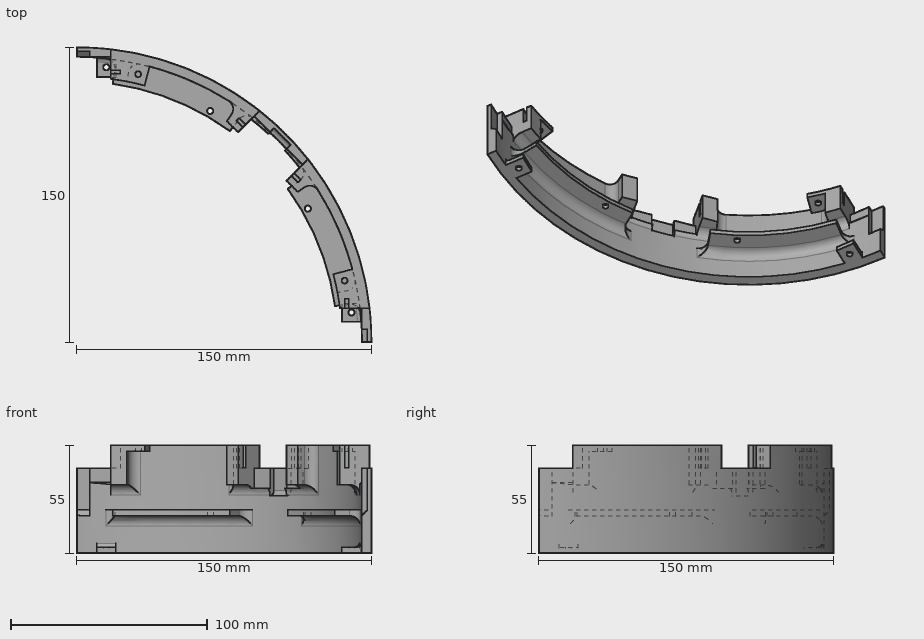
import cadquery as cq
import math

OUTER_RADIUS = 150
INNER_RADIUS = 145.0
TOTAL_HEIGHT = 55.0
LOW_WALL_HEIGHT = 43.4
FILLET_RADIUS = 5.0
ROOT_RADIUS = 147.8
END_STEP = 17.2
GAP_HALF_WIDTH = 17.4
MIDDLE_TILT = 45
REACH = 180
CORE_RADIUS = 120

BRACKET_BOTTOM = 34.8
BRACKET_INNER_RADIUS = 135
POST_TILT = 10.8
PLATE_TILT = 14.8
PLATE_THICKNESS = 3.2
PLATE_HOLE_RADIUS = 139.8
PLATE_HOLE_TILT = 12.9
MIDDLE_BLOCK_FACE = 133.5
MIDDLE_BLOCK_HALF_ANGLE = 10.8
HOLE_DIAMETER = 3

SLOT_BOTTOM = 43.5
SLOT_WIDTH = 2.0
SLOT_LENGTH = 4.8
POST_SLOT_CENTER = 137.4
MIDDLE_SLOT_CENTER = 138

SEAT_FACE = INNER_RADIUS
MIDDLE_SEAT_BOTTOM = 33
END_SEAT_BOTTOM = 36

RECESS_BACK = 147.9
MIDDLE_RECESS_HALF_WIDTH = 6
MIDDLE_RECESS_BOTTOM = 29.2
END_RECESS_LENGTH = 6.6
END_RECESS_BOTTOM = 22.0

LEDGE_INNER_RADIUS = 132.6
LEDGE_TOP = 22.2
LEDGE_THICKNESS = 3.2
LEDGE_START_TILT = 7.9
LEDGE_END_TILT = 36
LEDGE_HOLE_RADIUS = 135.8
LEDGE_HOLE_TILT = 30

TAB_START = 10.2
TAB_END = 19.8
TAB_INNER = 134.8
TAB_THICKNESS = 3.2
TAB_FILLET_RADIUS = 2.0
TAB_HOLE_X = 15
TAB_HOLE_Y = 139.8

DIAGONAL = math.sqrt(0.5)


def turned(x, y, tilt):
    """Turn a point clockwise about the ring axis."""
    angle = math.radians(tilt)
    return (x * math.cos(angle) + y * math.sin(angle), y * math.cos(angle) - x * math.sin(angle))


def mirrored(shape):
    """Copy onto the other half of the ring."""
    return shape.mirror(cq.Vector(1, -1, 0))


def box(x_range, y_range, z_range):
    size = [high - low for low, high in (x_range, y_range, z_range)]
    corner = (x_range[0], y_range[0], z_range[0])
    return cq.Workplane("XY").box(*size, centered=False).translate(corner)


def slot_range(center):
    """Limits of a panel slot across its width."""
    return (center - SLOT_WIDTH / 2, center + SLOT_WIDTH / 2)


def middle_box(half_width, radial_range, z_range):
    """Box centred on the middle of the ring."""
    return box((-half_width, half_width), radial_range, z_range).rotate((0, 0, 0), (0, 0, 1), -MIDDLE_TILT)


def hole(center, bottom, top):
    plane = cq.Workplane("XY", origin=(center[0], center[1], bottom))
    return plane.circle(HOLE_DIAMETER / 2).extrude(top - bottom)


def revolved(section):
    """Turn a section, drawn as (radius, height), about the ring axis."""
    return section.revolve(360, (0, 0, 0), (0, 1, 0))


def blended_profile(inner_radius, bottom, top):
    """Ring section whose underside curves down into the wall."""
    center = (INNER_RADIUS - FILLET_RADIUS, bottom - FILLET_RADIUS)
    offset = FILLET_RADIUS * DIAGONAL
    section = (
        cq.Workplane("XZ")
        .moveTo(inner_radius, top)
        .lineTo(inner_radius, bottom)
        .lineTo(center[0], bottom)
        .threePointArc((center[0] + offset, center[1] + offset), (INNER_RADIUS, center[1]))
        .lineTo(ROOT_RADIUS, center[1])
        .lineTo(ROOT_RADIUS, top)
        .close()
    )
    return revolved(section)


def make_wall():
    outer_middle = OUTER_RADIUS * DIAGONAL
    inner_middle = INNER_RADIUS * DIAGONAL
    wall = (
        cq.Workplane("XY")
        .moveTo(0, INNER_RADIUS)
        .lineTo(0, OUTER_RADIUS)
        .threePointArc((outer_middle, outer_middle), (OUTER_RADIUS, 0))
        .lineTo(INNER_RADIUS, 0)
        .threePointArc((inner_middle, inner_middle), (0, INNER_RADIUS))
        .close()
        .extrude(TOTAL_HEIGHT)
    )
    end_step = box((0, END_STEP), (0, REACH), (LOW_WALL_HEIGHT, TOTAL_HEIGHT))
    return wall.cut(end_step).cut(mirrored(end_step))


def side_blend(tilt, direction):
    """Arc blending a radial side face into the wall: wall end, middle and face end.

    direction is the side of the face the round lies on, +1 for clockwise.
    """
    center_radius = INNER_RADIUS - FILLET_RADIUS
    center_x = direction * FILLET_RADIUS
    center_y = math.sqrt(center_radius ** 2 - center_x ** 2)
    wall_angle = math.atan2(center_y, center_x)
    face_angle = math.pi if direction > 0 else 0
    points = []
    for angle in (wall_angle, (wall_angle + face_angle) / 2, face_angle):
        x = center_x + FILLET_RADIUS * math.cos(angle)
        y = center_y + FILLET_RADIUS * math.sin(angle)
        points.append(turned(x, y, tilt))
    return points


def outward(point):
    """Move a point radially out past the ring."""
    scale = REACH / math.hypot(*point)
    return (point[0] * scale, point[1] * scale)


def sector(start_tilt, end_tilt, start_blended=True, end_blended=True):
    """Solid between two radial faces, each optionally blended into the wall."""
    plan = cq.Workplane("XY")
    if start_blended:
        wall_end, middle, face_end = side_blend(start_tilt, -1)
        plan = plan.moveTo(*outward(wall_end)).lineTo(*wall_end).threePointArc(middle, face_end)
    else:
        plan = plan.moveTo(*turned(0, REACH, start_tilt))
    plan = plan.lineTo(*turned(0, CORE_RADIUS, start_tilt)).lineTo(*turned(0, CORE_RADIUS, end_tilt))
    if end_blended:
        wall_end, middle, face_end = side_blend(end_tilt, 1)
        plan = plan.lineTo(*face_end).threePointArc(middle, wall_end).lineTo(*outward(wall_end))
    else:
        plan = plan.lineTo(*turned(0, REACH, end_tilt))
    return plan.close().extrude(TOTAL_HEIGHT)


def make_ledge():
    profile = blended_profile(LEDGE_INNER_RADIUS, LEDGE_TOP - LEDGE_THICKNESS, LEDGE_TOP)
    ledge = profile.intersect(sector(LEDGE_START_TILT, LEDGE_END_TILT))
    return ledge.cut(hole(turned(0, LEDGE_HOLE_RADIUS, LEDGE_HOLE_TILT), 0, LEDGE_TOP))


def make_post():
    """End post with a thin plate on top that reaches further along the wall."""
    plate_bottom = TOTAL_HEIGHT - PLATE_THICKNESS
    plate_layer = box((END_STEP, REACH), (0, REACH), (plate_bottom, TOTAL_HEIGHT))
    plate_plan = sector(0, PLATE_TILT, start_blended=False, end_blended=False).intersect(plate_layer)
    post_plan = sector(0, POST_TILT, start_blended=False).union(plate_plan)
    post = blended_profile(BRACKET_INNER_RADIUS, BRACKET_BOTTOM, TOTAL_HEIGHT).intersect(post_plan)
    post = post.cut(box((0, END_STEP), (0, REACH), (0, TOTAL_HEIGHT)))
    post = post.cut(hole(turned(0, PLATE_HOLE_RADIUS, PLATE_HOLE_TILT), plate_bottom, TOTAL_HEIGHT))
    slot = box((END_STEP, END_STEP + SLOT_LENGTH), slot_range(POST_SLOT_CENTER), (SLOT_BOTTOM, TOTAL_HEIGHT))
    return post.cut(slot)


def make_middle_block():
    """Bracket across the middle of the ring, before the gap is cut through it."""
    plan = sector(MIDDLE_TILT - MIDDLE_BLOCK_HALF_ANGLE, MIDDLE_TILT + MIDDLE_BLOCK_HALF_ANGLE)
    block = blended_profile(CORE_RADIUS, BRACKET_BOTTOM, TOTAL_HEIGHT).intersect(plan)
    block = block.cut(middle_box(REACH, (0, MIDDLE_BLOCK_FACE), (0, TOTAL_HEIGHT)))
    slot_height = (SLOT_BOTTOM, TOTAL_HEIGHT)
    slots = middle_box(GAP_HALF_WIDTH + SLOT_LENGTH, slot_range(MIDDLE_SLOT_CENTER), slot_height)
    return block.cut(slots)


def make_tab():
    fillet_top = TAB_THICKNESS + TAB_FILLET_RADIUS
    fillet_start = INNER_RADIUS - TAB_FILLET_RADIUS
    offset = TAB_FILLET_RADIUS * DIAGONAL
    section = (
        cq.Workplane("XZ")
        .moveTo(CORE_RADIUS, 0)
        .lineTo(CORE_RADIUS, TAB_THICKNESS)
        .lineTo(fillet_start, TAB_THICKNESS)
        .threePointArc((fillet_start + offset, fillet_top - offset), (INNER_RADIUS, fillet_top))
        .lineTo(ROOT_RADIUS, fillet_top)
        .lineTo(ROOT_RADIUS, 0)
        .close()
    )
    tab = revolved(section).intersect(box((TAB_START, TAB_END), (TAB_INNER, REACH), (0, fillet_top)))
    return tab.cut(hole((TAB_HOLE_X, TAB_HOLE_Y), 0, fillet_top))


def sloped_cut(length, back, bottom):
    """Cut from the ring end with its back at y = back and a floor falling inward at 45 degrees."""
    run = back - BRACKET_INNER_RADIUS
    return (
        cq.Workplane("YZ")
        .moveTo(back, LOW_WALL_HEIGHT)
        .lineTo(back, bottom)
        .lineTo(BRACKET_INNER_RADIUS, bottom - run)
        .lineTo(BRACKET_INNER_RADIUS, LOW_WALL_HEIGHT)
        .close()
        .extrude(length)
    )


def cut_middle_gap(body):
    gap = middle_box(GAP_HALF_WIDTH, (0, REACH), (LOW_WALL_HEIGHT, TOTAL_HEIGHT))
    seat = middle_box(GAP_HALF_WIDTH, (0, SEAT_FACE), (MIDDLE_SEAT_BOTTOM, LOW_WALL_HEIGHT))
    return body.cut(gap).cut(seat)


def make_middle_recess():
    """Latch recess whose floor curves up into its back face."""
    radius = RECESS_BACK - SEAT_FACE
    offset = radius * DIAGONAL
    recess = (
        cq.Workplane("YZ", origin=(-MIDDLE_RECESS_HALF_WIDTH, 0, 0))
        .moveTo(RECESS_BACK, LOW_WALL_HEIGHT)
        .lineTo(RECESS_BACK, MIDDLE_RECESS_BOTTOM + radius)
        .threePointArc(
            (SEAT_FACE + offset, MIDDLE_RECESS_BOTTOM + radius - offset),
            (SEAT_FACE, MIDDLE_RECESS_BOTTOM),
        )
        .lineTo(BRACKET_INNER_RADIUS, MIDDLE_RECESS_BOTTOM)
        .lineTo(BRACKET_INNER_RADIUS, LOW_WALL_HEIGHT)
        .close()
        .extrude(2 * MIDDLE_RECESS_HALF_WIDTH)
    )
    return recess.rotate((0, 0, 0), (0, 0, 1), -MIDDLE_TILT)


body = cut_middle_gap(make_wall().union(make_middle_block())).cut(make_middle_recess())

end_seat = sloped_cut(END_STEP, SEAT_FACE, END_SEAT_BOTTOM)
end_recess = sloped_cut(END_RECESS_LENGTH, RECESS_BACK, END_RECESS_BOTTOM)
for cutter in (end_seat, end_recess):
    body = body.cut(cutter).cut(mirrored(cutter))

for bracket in (make_post(), make_ledge(), make_tab()):
    body = body.union(bracket).union(mirrored(bracket))

result = body